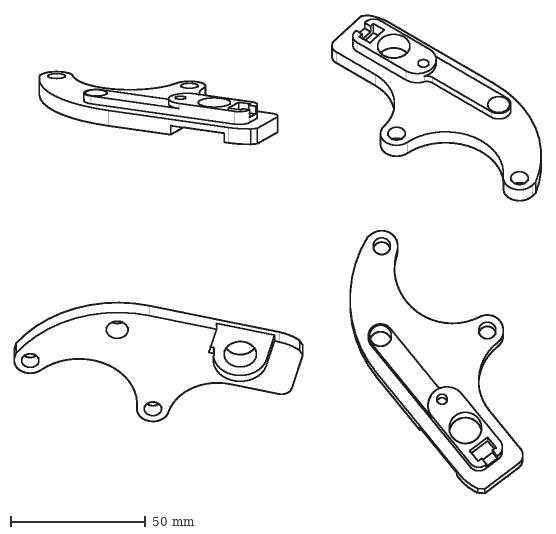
import cadquery as cq
import math

length = 103.5
plate_height = 6.0
body_depth = 24.0
lug_radius = 6.0
lug_hole_radius = 3.2
left_lug = (lug_radius, 31.8)
upper_lug = (55.9, 42.5)
saddle_center = (28.9, 47.2)
neck_center = (80.8, 43.1)
belly_end_y = 29.7
belly_start_x = 43.5
back_corner_radius = 4.0
front_curve_start_x = 93.4
front_curve_end = (101.8, 2.0)
side_corner_end_y = 3.9

arm_height = 3.0
arm_radius = 4.6
arm_front_y = 5.0
arm_end = (33.6, arm_front_y + arm_radius)
arm_hole_radius = 4.0
pad_top = 11.0
pad_left = 63.4
pad_right = 97.5
pad_radius = 7.0
pad_corner_radius = 4.0
neck_fillet_radius = 3.0
pad_axis_y = arm_front_y + pad_radius

main_hole = (81.6, pad_axis_y)
main_hole_radius = 6.0
pin_hole = (67.5, pad_axis_y)
pin_hole_radius = 2.0
pocket_left = 89.5
pocket_right = 94.6
pocket_width = 8.5
pocket_depth = pad_top - plate_height
channel_width = 5.1
channel_depth = 3.0

recess_height = 3.5
recess_radius = 10.0
recess_left = 69.4
recess_lip_radius = 0.6


def toward(start, target, distance):
    """Point at the given distance from start, in the direction of target."""
    dx = target[0] - start[0]
    dy = target[1] - start[1]
    scale = distance / math.hypot(dx, dy)
    return (start[0] + dx * scale, start[1] + dy * scale)


def on_circle(center, radius, degrees):
    angle = math.radians(degrees)
    return (center[0] + radius * math.cos(angle), center[1] + radius * math.sin(angle))


def cylinder(center, radius, bottom, top):
    return cq.Workplane("XY", origin=(*center, bottom)).circle(radius).extrude(top - bottom)


def block(x_range, y_range, bottom, top):
    corner = (x_range[0], y_range[0], bottom)
    size = (x_range[1] - x_range[0], y_range[1] - y_range[0], top - bottom)
    return cq.Workplane("XY", origin=corner).box(*size, centered=False)


def make_plate():
    belly_radius = (belly_start_x**2 + belly_end_y**2) / (2 * belly_end_y)
    belly_center = (belly_start_x, belly_radius)

    saddle_radius = math.dist(saddle_center, upper_lug) - lug_radius
    lug_saddle = toward(left_lug, saddle_center, lug_radius)
    upper_saddle = toward(upper_lug, saddle_center, lug_radius)
    upper_neck = toward(upper_lug, neck_center, lug_radius)
    neck_radius = neck_center[1] - body_depth

    corner_center = (length - back_corner_radius, body_depth - back_corner_radius)
    curve_run = front_curve_end[0] - front_curve_start_x
    curve_radius = (curve_run**2 + front_curve_end[1]**2) / (2 * front_curve_end[1])
    curve_center = (front_curve_start_x, curve_radius)
    curve_turn = math.degrees(math.asin(curve_run / curve_radius))
    side_end = (length, side_corner_end_y)

    outline = (
        cq.Workplane("XY")
        .moveTo(belly_start_x, 0)
        .threePointArc(on_circle(belly_center, belly_radius, -120), (0, belly_end_y))
        .lineTo(0, left_lug[1])
        .threePointArc(on_circle(left_lug, lug_radius, 135), lug_saddle)
        .threePointArc(on_circle(saddle_center, saddle_radius, -90), upper_saddle)
        .threePointArc(on_circle(upper_lug, lug_radius, 90), upper_neck)
        .threePointArc(on_circle(neck_center, neck_radius, -135), (neck_center[0], body_depth))
        .lineTo(corner_center[0], body_depth)
        .threePointArc(on_circle(corner_center, back_corner_radius, 45), (length, corner_center[1]))
        .lineTo(*side_end)
        .lineTo(*front_curve_end)
        .threePointArc(
            on_circle(curve_center, curve_radius, curve_turn / 2 - 90), (front_curve_start_x, 0)
        )
        .close()
    )
    plate = outline.extrude(plate_height)
    for lug in (left_lug, upper_lug):
        plate = plate.cut(cylinder(lug, lug_hole_radius, 0, plate_height))
    return plate


def make_arm():
    arm_top = plate_height + arm_height
    arm_sides = (arm_end[1] - arm_radius, arm_end[1] + arm_radius)
    pad_center = (pad_left + pad_radius, pad_axis_y)
    bar = block((arm_end[0], pad_center[0]), arm_sides, plate_height, arm_top)

    back_y = arm_sides[1]
    blend_y = back_y + neck_fillet_radius
    center_distance = pad_radius + neck_fillet_radius
    blend_x = pad_center[0] - math.sqrt(center_distance**2 - (blend_y - pad_axis_y)**2)
    blend_center = (blend_x, blend_y)
    pad_contact = toward(pad_center, blend_center, pad_radius)
    arc_middle = toward(blend_center, (pad_contact[0], back_y), neck_fillet_radius)
    blend = (
        cq.Workplane("XY", origin=(0, 0, plate_height))
        .moveTo(blend_x, back_y)
        .threePointArc(arc_middle, pad_contact)
        .lineTo(pad_center[0], pad_contact[1])
        .lineTo(pad_center[0], back_y)
        .close()
        .extrude(arm_height)
    )
    return bar.union(cylinder(arm_end, arm_radius, plate_height, arm_top)).union(blend)


def make_pad():
    center_x = pad_left + pad_radius
    sides = (pad_axis_y - pad_radius, pad_axis_y + pad_radius)
    pad = block((center_x, pad_right), sides, plate_height, pad_top)
    pad = pad.edges("|Z and >X").fillet(pad_corner_radius)
    return pad.union(cylinder((center_x, pad_axis_y), pad_radius, plate_height, pad_top))


def make_pad_pocket():
    pocket_sides = (pad_axis_y - pocket_width / 2, pad_axis_y + pocket_width / 2)
    channel_sides = (pad_axis_y - channel_width / 2, pad_axis_y + channel_width / 2)
    pocket = block((pocket_left, pocket_right), pocket_sides, pad_top - pocket_depth, pad_top)
    channel = block((pocket_right, pad_right), channel_sides, pad_top - channel_depth, pad_top)
    return pocket.union(channel)


def make_recess():
    circle_left = main_hole[0] - recess_radius
    circle_right = main_hole[0] + recess_radius
    lip_center = (circle_left - recess_lip_radius, main_hole[1])
    step_y = main_hole[1] - recess_lip_radius
    return (
        cq.Workplane("XY")
        .moveTo(recess_left, 0)
        .lineTo(circle_right, 0)
        .lineTo(circle_right, main_hole[1])
        .threePointArc(on_circle(main_hole, recess_radius, 90), (circle_left, main_hole[1]))
        .threePointArc(on_circle(lip_center, recess_lip_radius, -45), (lip_center[0], step_y))
        .lineTo(recess_left, step_y)
        .close()
        .extrude(recess_height)
    )


result = make_plate().union(make_arm()).union(make_pad())
result = result.cut(cylinder(arm_end, arm_hole_radius, 0, plate_height + arm_height))
result = result.cut(cylinder(main_hole, main_hole_radius, 0, pad_top))
result = result.cut(cylinder(pin_hole, pin_hole_radius, plate_height, pad_top))
result = result.cut(make_pad_pocket())
result = result.cut(make_recess())